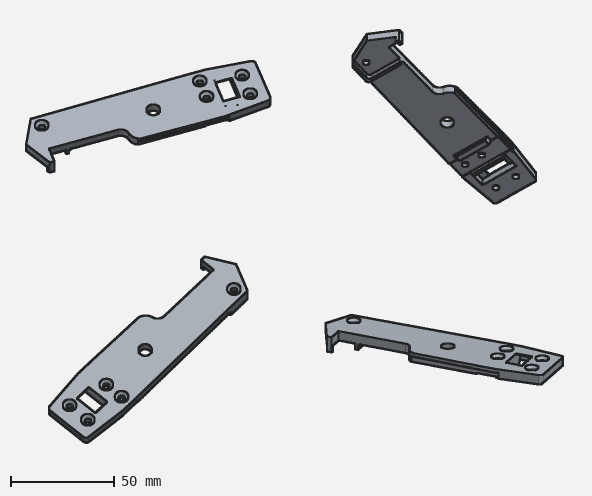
import math

import cadquery as cq


length = 121.19
max_width = 30.0
top_width = 25.2
tip_width = 28.2
wide_start = length - 24.2
wide_end = length - 34.0
shoulder_y = 7.2
neck_x = 6.0
side_taper = (max_width - tip_width) / 2 / (wide_end - shoulder_y)
hook_y = 9.7
ledge_y = 49.2
ledge_x = 9.6
lobe_rise = 4.5
lobe_radius = 6.0
neck_drop = 4.0
neck_radius = 4.5
corner_radius = 2.0
end_chamfer = 0.7

plate_depth = 5.0
groove_depth = 4.5
skirt_depth = 8.0
rib_depth = 7.0

screw_diameter = 3.2
screw_head_diameter = 6.6
screw_head_angle = 90.0
centre_hole_diameter = 6.5
centre_hole_y = 65.1
end_screw_y = length - 8.6
end_screw_x = 6.0
pair_screw_y = length - 29.1
pair_screw_x = -9.3
pair_screw_pitch = 10.0
tip_screw = (-8.6, 11.0)
screw_points = [
    (-end_screw_x, end_screw_y),
    (end_screw_x, end_screw_y),
    (pair_screw_x, pair_screw_y),
    (pair_screw_x + pair_screw_pitch, pair_screw_y),
    tip_screw,
]

window_width = 12.0
window_top = length - 13.9
window_bottom = length - 22.3
groove_top = length - 23.9
groove_bottom = length - 34.2
lower_rib_bottom = length - 37.4
rib_base_half = 10.2
rib_end_run = 1.4
window_roof = 0.6

relief_depth = 2.0
relief_x = 14.1

wall = 1.5
skirt_top = 20.0
skirt_chamfer = 1.0
skirt_corner_radius = 1.5
skirt_corner_x = -tip_width / 2 - side_taper * (skirt_top - shoulder_y)
skirt_corner_center = (skirt_corner_x + skirt_corner_radius, skirt_top - skirt_corner_radius)


def block(x_min, x_max, y_min, y_max, depth_top, depth_bottom):
    """Axis-aligned box between two depths below the top face."""
    box = cq.Workplane("XY").box(x_max - x_min, y_max - y_min, depth_bottom - depth_top, centered=False)
    return box.translate((x_min, y_min, -depth_bottom))


def outline_prism(depth):
    """The plate outline carried from the top face down to the given depth."""
    half_max = max_width / 2
    half_top = top_width / 2
    half_tip = tip_width / 2
    lobe_y = ledge_y + lobe_rise
    lobe_x = half_max - side_taper * (wide_end - lobe_y)
    prism = (
        cq.Workplane("XY")
        .moveTo(-half_top, length)
        .lineTo(half_top, length)
        .lineTo(half_max, wide_start)
        .lineTo(half_max, wide_end)
        .lineTo(lobe_x, lobe_y)
        .radiusArc((ledge_x, ledge_y), lobe_radius)
        .radiusArc((neck_x, ledge_y - neck_drop), -neck_radius)
        .lineTo(neck_x, hook_y)
        .lineTo(half_tip, hook_y)
        .lineTo(half_tip, shoulder_y)
        .lineTo(0, 0)
        .lineTo(-half_tip, shoulder_y)
        .lineTo(-half_max, wide_end)
        .lineTo(-half_max, wide_start)
        .close()
        .extrude(-depth)
    )
    return prism.faces(">Y").edges("|Z").fillet(corner_radius)


def plate():
    """Main plate with a small chamfer under its straight +Y end."""
    wedge = (
        cq.Workplane("YZ")
        .moveTo(length, -plate_depth)
        .lineTo(length - end_chamfer, -plate_depth)
        .lineTo(length, end_chamfer - plate_depth)
        .close()
        .extrude(max_width / 2, both=True)
    )
    return outline_prism(plate_depth).cut(wedge)


def rib(y_min, y_max):
    """Cross rib under the plate with sloping ends."""
    foot_half = rib_base_half - rib_end_run
    return (
        cq.Workplane("XZ", origin=(0, y_max, 0))
        .moveTo(-rib_base_half, -plate_depth)
        .lineTo(-foot_half, -rib_depth)
        .lineTo(foot_half, -rib_depth)
        .lineTo(rib_base_half, -plate_depth)
        .lineTo(rib_base_half, -groove_depth)
        .lineTo(-rib_base_half, -groove_depth)
        .close()
        .extrude(y_max - y_min)
    )


def skirt():
    """Walls under the pointed end: left side, cross wall, and the outer side of the hook."""
    half_tip = tip_width / 2
    inner_x = half_tip - wall
    body = block(-max_width / 2, neck_x, 0, skirt_top, 0, skirt_depth)
    cavity = block(-inner_x, neck_x, -wall, skirt_top - wall, plate_depth, skirt_depth)
    cavity = cavity.edges("|Z and <X and >Y").fillet(skirt_corner_radius)
    body = body.cut(cavity)
    hook_wall = block(inner_x, half_tip, 0, hook_y, 0, skirt_depth)
    walls = body.cut(skirt_corner_cutter()).union(skirt_flare()).union(hook_wall)
    return walls.intersect(outline_prism(skirt_depth))


def skirt_corner_cutter():
    """Material outside the rounded upper left corner of the skirt."""
    center_x, center_y = skirt_corner_center
    corner = block(-max_width / 2, center_x, center_y, skirt_top, plate_depth, skirt_depth)
    post = cq.Workplane("XY").center(center_x, center_y).circle(skirt_corner_radius).extrude(-skirt_depth)
    return corner.cut(post)


def skirt_flare():
    """Sloped foot where the cross wall meets the plate, carried around the rounded corner."""
    center_x, center_y = skirt_corner_center
    straight = (
        cq.Workplane("YZ", origin=(center_x, 0, 0))
        .moveTo(center_y, -plate_depth)
        .lineTo(skirt_top + skirt_chamfer, -plate_depth)
        .lineTo(skirt_top, -plate_depth - skirt_chamfer)
        .lineTo(center_y, -plate_depth - skirt_chamfer)
        .close()
        .extrude(neck_x - center_x)
    )
    cone = cq.Solid.makeCone(
        skirt_corner_radius + skirt_chamfer,
        skirt_corner_radius,
        skirt_chamfer,
        cq.Vector(center_x, center_y, -plate_depth),
        cq.Vector(0, 0, -1),
    )
    quadrant = block(-max_width / 2, center_x, center_y, skirt_top + skirt_chamfer, plate_depth, skirt_depth)
    return straight.union(quadrant.intersect(cq.Workplane(cone)))


def countersunk_screws():
    """Through holes for the screws with conical heads sunk in the top face."""
    return (
        cq.Workplane("XY")
        .pushPoints(screw_points)
        .circle(screw_diameter / 2)
        .extrude(-skirt_depth)
        .union(screw_heads())
    )


def screw_heads():
    """Cones that widen the screw holes towards the top face."""
    head_depth = (screw_head_diameter - screw_diameter) / 2 / math.tan(math.radians(screw_head_angle / 2))
    heads = cq.Workplane("XY")
    for x, y in screw_points:
        cone = cq.Solid.makeCone(
            screw_head_diameter / 2, screw_diameter / 2, head_depth, cq.Vector(x, y, 0), cq.Vector(0, 0, -1)
        )
        heads = heads.add(cone)
    return heads.combine()


half_width = max_width / 2
window_pocket = block(-rib_base_half, rib_base_half, window_bottom, window_top, window_roof, plate_depth)
groove = block(-half_width, half_width, groove_bottom, groove_top, groove_depth, plate_depth)
relief = block(relief_x, half_width, ledge_y, window_bottom, relief_depth, plate_depth)
window = block(-window_width / 2, window_width / 2, window_bottom, window_top, 0, plate_depth)
centre_hole = (
    cq.Workplane("XY").center(0, centre_hole_y).circle(centre_hole_diameter / 2).extrude(-plate_depth)
)

result = (
    plate()
    .cut(groove)
    .cut(relief)
    .union(rib(groove_top, window_bottom))
    .union(rib(lower_rib_bottom, groove_bottom))
    .union(skirt())
    .cut(window_pocket)
    .cut(window)
    .cut(centre_hole)
    .cut(countersunk_screws())
)